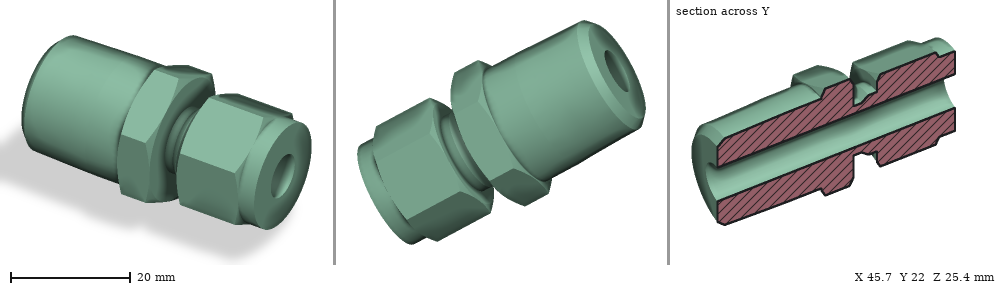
import cadquery as cq
import math

lead_in_chamfer = 1.4
taper_end = 13.5
body_hex_start = 19.9
body_hex_end = 26.2
neck_end = 27.7
flare_end = 29.0
nut_start = 30.6
nut_end = 42.6
total_length = 45.7

taper_small_radius = 10.3
end_face_radius = taper_small_radius - lead_in_chamfer
taper_large_radius = 10.67
neck_radius = 5.9
flare_radius = 7.1
bore_radius = 3.95

body_across_flats = 22.0
nut_across_flats = 19.0
collar_radius = nut_across_flats / 2
hex_sides = 6
corner_chamfer_angle = 25.0


def revolve_profile(points):
    """Turn an (x, radius) outline about the X axis."""
    return cq.Workplane("XZ").polyline(points).close().revolve(360, (0, 0, 0), (1, 0, 0))


def cylinder(start, end, radius):
    """Round bar along X between two stations."""
    return cq.Workplane("YZ", origin=(start, 0, 0)).circle(radius).extrude(end - start)


def chamfered_hexagon(start, end, across_flats):
    """Hexagon along X with corners at +Z and -Z, its corners turned off conically at both ends."""
    flat_radius = across_flats / 2
    corner_radius = flat_radius / math.cos(math.pi / hex_sides)
    chamfer_length = (corner_radius - flat_radius) * math.tan(math.radians(corner_chamfer_angle))
    corner_angles = [2 * math.pi * side / hex_sides for side in range(hex_sides)]
    corners = [(corner_radius * math.sin(a), corner_radius * math.cos(a)) for a in corner_angles]
    hexagon = cq.Workplane("YZ", origin=(start, 0, 0)).polyline(corners).close().extrude(end - start)
    envelope = revolve_profile([
        (start, 0),
        (start, flat_radius),
        (start + chamfer_length, corner_radius),
        (end - chamfer_length, corner_radius),
        (end, flat_radius),
        (end, 0),
    ])
    return hexagon.intersect(envelope)


def turned_body():
    """Tapered thread blank, its parallel shank, and the flared neck leading to the nut."""
    return revolve_profile([
        (0, 0),
        (0, end_face_radius),
        (lead_in_chamfer, taper_small_radius),
        (taper_end, taper_large_radius),
        (body_hex_start, taper_large_radius),
        (body_hex_start, neck_radius),
        (neck_end, neck_radius),
        (flare_end, flare_radius),
        (nut_start, flare_radius),
        (nut_start, 0),
    ])


body_hex = chamfered_hexagon(body_hex_start, body_hex_end, body_across_flats)
nut = chamfered_hexagon(nut_start, nut_end, nut_across_flats)
collar = cylinder(nut_end, total_length, collar_radius)
bore = cylinder(0, total_length, bore_radius)

result = turned_body().union(body_hex).union(nut).union(collar).cut(bore)